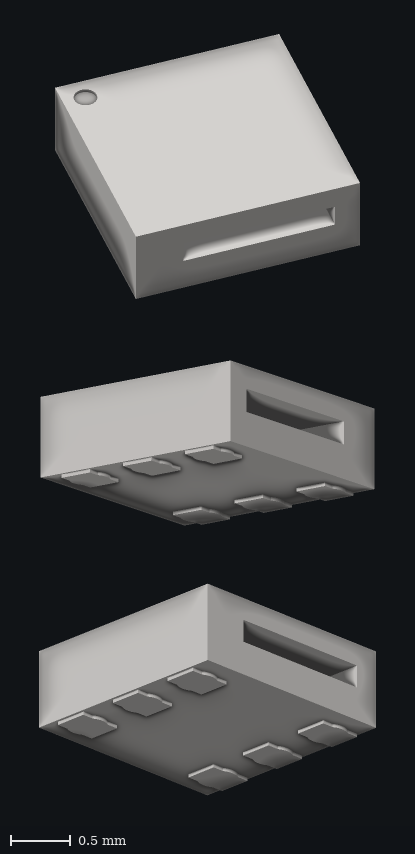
import cadquery as cq

body_side = 2.0
body_height = 0.70

pad_thickness = 0.03
pad_width = 0.30
pad_length = 0.40
pad_round_diameter = 0.35
pad_pitch = 0.65
pads_per_row = 3
pad_edge_gap = 0.025

slot_height = 0.20
slot_cover = 0.20
slot_y_min = -0.575
slot_y_max = 0.775

mark_diameter = 0.20
mark_depth = 0.03
mark_edge_distance = 0.20

body_top = pad_thickness + body_height
pad_row_y = body_side / 2 - pad_edge_gap - pad_length / 2
mark_center = -body_side / 2 + mark_edge_distance


def make_body():
    """Square block standing on the pads."""
    block = cq.Workplane("XY").box(body_side, body_side, body_height, centered=(True, True, False))
    return block.translate((0, 0, pad_thickness))


def make_slot():
    """Rectangular passage, offset towards +Y, through the full body along X."""
    slot_width = slot_y_max - slot_y_min
    slot_bottom = body_top - slot_cover - slot_height
    passage = cq.Workplane("XY").box(body_side, slot_width, slot_height, centered=(True, False, False))
    return passage.translate((0, slot_y_min, slot_bottom))


def make_mark():
    """Shallow round recess near the -X, -Y corner of the top face."""
    recess = cq.Workplane("XY").circle(mark_diameter / 2).extrude(mark_depth)
    return recess.translate((mark_center, mark_center, body_top - mark_depth))


def make_pad(x, y):
    """Rectangular pad whose two long sides bulge out as arcs about the pad centre."""
    plate = cq.Workplane("XY").rect(pad_width, pad_length).extrude(pad_thickness)
    disc = cq.Workplane("XY").circle(pad_round_diameter / 2).extrude(pad_thickness)
    return plate.union(disc).translate((x, y, 0))


result = make_body().cut(make_slot()).cut(make_mark())

for row_y in (-pad_row_y, pad_row_y):
    for column in range(pads_per_row):
        pad_x = (column - (pads_per_row - 1) / 2) * pad_pitch
        result = result.union(make_pad(pad_x, row_y))